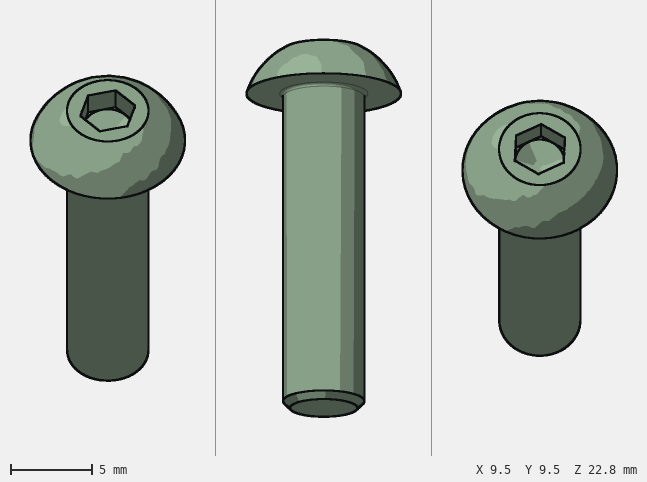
import cadquery as cq
import math

total_length = 22.75
head_height = 2.75
head_diameter = 9.5
head_flat_diameter = 5.0
dome_radius = 5.0
shank_diameter = 5.0
tip_chamfer = 0.43
neck_fillet = 0.2
socket_width = 3.0
socket_depth = 1.57
drill_point_angle = 120.0

head_radius = head_diameter / 2
head_flat_radius = head_flat_diameter / 2
shank_radius = shank_diameter / 2
tip_z = head_height - total_length


def make_body():
    """Revolve the half profile of the domed head, neck fillet and chamfered shank."""
    profile = (
        cq.Workplane("XZ")
        .moveTo(0, head_height)
        .lineTo(head_flat_radius, head_height)
        .radiusArc((head_radius, 0), dome_radius)
        .lineTo(shank_radius + neck_fillet, 0)
        .radiusArc((shank_radius, -neck_fillet), -neck_fillet)
        .lineTo(shank_radius, tip_z + tip_chamfer)
        .lineTo(shank_radius - tip_chamfer, tip_z)
        .lineTo(0, tip_z)
        .close()
    )
    return profile.revolve(360, (0, 0, 0), (0, 1, 0))


def make_socket():
    """Hexagonal recess with corners on the Y axis and a conical drill point below."""
    floor_z = head_height - socket_depth
    point_radius = socket_width / 2
    point_depth = point_radius / math.tan(math.radians(drill_point_angle / 2))
    corner_diameter = socket_width / math.cos(math.radians(30))
    hexagon = (
        cq.Workplane("XY")
        .workplane(offset=floor_z)
        .transformed(rotate=(0, 0, 90))
        .polygon(6, corner_diameter)
        .extrude(socket_depth)
    )
    drill_point = cq.Solid.makeCone(
        point_radius, 0, point_depth, cq.Vector(0, 0, floor_z), cq.Vector(0, 0, -1)
    )
    return hexagon.union(cq.Workplane(obj=drill_point))


result = make_body().cut(make_socket())